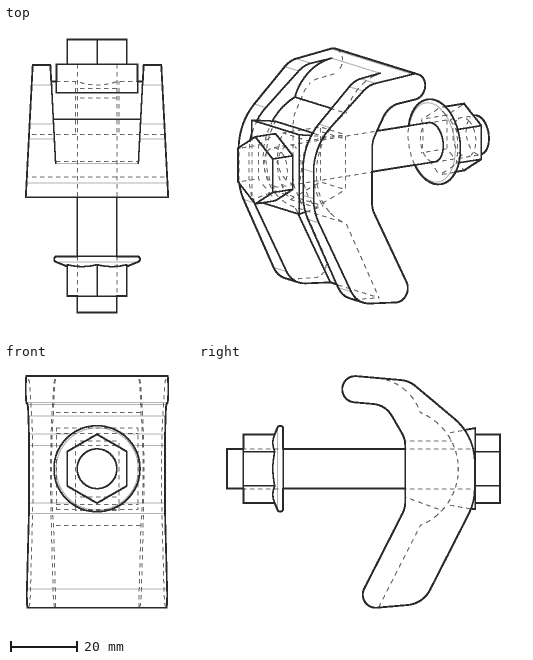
import cadquery as cq
import math


web_depth = 21.0
jaw_top = 28.0
jaw_bottom = -42.0
tip_radius = 4.0
upper_tip_y = -15.0
lower_tip_y = -8.8
lip_angle = math.radians(5)
upper_inner_angle = math.radians(30)
upper_outer_angle = math.radians(50)
lower_angle = math.radians(27)
upper_inner_corner_z = 9.0
upper_outer_corner_z = 10.0
lower_outer_corner_z = -10.2
inner_radius = 7.0
upper_shoulder_radius = 8.0
lower_shoulder_radius = 8.5
upper_back_radius = 17.0
lower_back_radius = 17.0

tip_width = 43.08
draft = math.tan(math.radians(3))

seat_radius = 18.4
seat_y = 16.0
relief_radius = 15.4
relief_end_y = -8.7
recess_back_width = 28.1

slot_width = 13.0
slot_height = 17.0
slot_floor_slope = math.tan(math.radians(20))

shank_diameter = 12.0
across_flats = 18.0
head_height = 7.5
bolt_length = 82.5
seat_plane_y = 21.2
washer_size = 24.6
washer_slope = math.tan(math.radians(10))
nut_height = 12.0
bolt_overhang = 5.0
flange_diameter = 26.0
flange_rim_radius = 0.9
flange_cone_angle = math.radians(22)

hexagon_turn = 30
hex_diameter = across_flats / math.cos(math.pi / 6)
shank_end_y = seat_plane_y + head_height - bolt_length
upper_tip_z = jaw_top - tip_radius
lower_tip_z = jaw_bottom + tip_radius
seat_center_y = seat_y - seat_radius
margin = 10.0


def meet(point_a, dir_a, point_b, dir_b):
    """Intersection of two lines in the YZ plane."""
    det = dir_a[1] * dir_b[0] - dir_a[0] * dir_b[1]
    dy = point_b[0] - point_a[0]
    dz = point_b[1] - point_a[1]
    t = (dir_b[0] * dz - dir_b[1] * dy) / det
    return (point_a[0] + t * dir_a[0], point_a[1] + t * dir_a[1])


def tangent_points(before, corner, after, radius):
    """Start, middle and end of the arc that rounds a corner."""
    def unit(target):
        length = math.dist(corner, target)
        return ((target[0] - corner[0]) / length, (target[1] - corner[1]) / length)

    u = unit(before)
    v = unit(after)
    half = math.acos(u[0] * v[0] + u[1] * v[1]) / 2
    setback = radius / math.tan(half)
    reach = radius / math.sin(half) - radius
    bisector = (u[0] + v[0], u[1] + v[1])
    norm = math.hypot(*bisector)
    start = (corner[0] + setback * u[0], corner[1] + setback * u[1])
    middle = (corner[0] + reach * bisector[0] / norm, corner[1] + reach * bisector[1] / norm)
    end = (corner[0] + setback * v[0], corner[1] + setback * v[1])
    return start, middle, end


def tip_point(center_y, center_z, normal_y, normal_z):
    """Point of a rounded jaw tip in the direction of a unit normal."""
    return (center_y + tip_radius * normal_y, center_z + tip_radius * normal_z)


sin_lip = math.sin(lip_angle)
cos_lip = math.cos(lip_angle)
upper_lip_dir = (cos_lip, -sin_lip)
lower_lip_dir = (cos_lip, sin_lip)
upper_inner_dir = (-math.sin(upper_inner_angle), math.cos(upper_inner_angle))
upper_outer_dir = (-math.sin(upper_outer_angle), math.cos(upper_outer_angle))
lower_dir = (-math.sin(lower_angle), -math.cos(lower_angle))

lip_top = tip_point(upper_tip_y, upper_tip_z, sin_lip, cos_lip)
lip_end = tip_point(upper_tip_y, upper_tip_z, -cos_lip, sin_lip)
lip_under = tip_point(upper_tip_y, upper_tip_z, -sin_lip, -cos_lip)
foot_inner = tip_point(lower_tip_y, lower_tip_z, -math.cos(lower_angle), math.sin(lower_angle))
foot_end = tip_point(lower_tip_y, lower_tip_z, -math.cos(math.pi / 4), -math.sin(math.pi / 4))
foot_under = tip_point(lower_tip_y, lower_tip_z, sin_lip, -cos_lip)


def jaw_outline():
    """Side outline of the jaw with all corners rounded."""
    upper_inner = (0, upper_inner_corner_z)
    lower_inner = meet(foot_inner, lower_dir, (0, 0), (0, 1))
    upper_back = (web_depth, upper_outer_corner_z)
    lower_back = (web_depth, lower_outer_corner_z)
    lip_corner = meet(lip_under, upper_lip_dir, upper_inner, upper_inner_dir)
    upper_shoulder = meet(lip_top, upper_lip_dir, upper_back, upper_outer_dir)
    lower_shoulder = meet(foot_under, lower_lip_dir, lower_back, lower_dir)

    rounded_inside = [
        (lip_under, lip_corner, upper_inner, inner_radius),
        (lip_corner, upper_inner, lower_inner, inner_radius),
        (upper_inner, lower_inner, foot_inner, inner_radius),
    ]
    rounded_outside = [
        (foot_under, lower_shoulder, lower_back, lower_shoulder_radius),
        (lower_shoulder, lower_back, upper_back, lower_back_radius),
        (lower_back, upper_back, upper_shoulder, upper_back_radius),
        (upper_back, upper_shoulder, lip_top, upper_shoulder_radius),
    ]
    outline = cq.Workplane("YZ").moveTo(*lip_top).threePointArc(lip_end, lip_under)
    for corner in rounded_inside:
        start, middle, end = tangent_points(*corner)
        outline = outline.lineTo(*start).threePointArc(middle, end)
    outline = outline.lineTo(*foot_inner).threePointArc(foot_end, foot_under)
    for corner in rounded_outside:
        start, middle, end = tangent_points(*corner)
        outline = outline.lineTo(*start).threePointArc(middle, end)
    return outline.close()


def tapered_block(width_at_ref, ref_y, front_y, back_y, taper):
    """Tall block whose half width changes by taper per millimetre of Y."""
    front_half = width_at_ref / 2 + taper * (front_y - ref_y)
    back_half = width_at_ref / 2 + taper * (back_y - ref_y)
    height = 2 * (jaw_top - jaw_bottom)
    return (
        cq.Workplane("XY")
        .moveTo(-front_half, front_y)
        .lineTo(front_half, front_y)
        .lineTo(back_half, back_y)
        .lineTo(-back_half, back_y)
        .close()
        .extrude(height / 2, both=True)
    )


def seat_point(angle):
    """Point of the cylindrical seat at an angle from +Y."""
    return (seat_center_y + seat_radius * math.cos(angle), seat_radius * math.sin(angle))


def recess():
    """Recess with a cylindrical seat, a rounded relief that runs out on the lip
    and a straight groove, parallel to the lower arm, that runs out at the foot."""
    relief_end = (relief_end_y, lip_top[1] - (relief_end_y - lip_top[0]) * math.tan(lip_angle))
    relief_center = (relief_end[0] - relief_radius * sin_lip, relief_end[1] - relief_radius * cos_lip)
    dy = relief_center[0] - seat_center_y
    gap = math.hypot(dy, relief_center[1])
    along = math.acos((gap**2 + seat_radius**2 - relief_radius**2) / (2 * gap * seat_radius))
    seat_end_angle = math.atan2(relief_center[1], dy) - along
    crease = seat_point(seat_end_angle)
    start_angle = math.atan2(crease[1] - relief_center[1], crease[0] - relief_center[0])
    middle_angle = (start_angle + math.pi / 2 - lip_angle) / 2
    relief_middle = (
        relief_center[0] + relief_radius * math.cos(middle_angle),
        relief_center[1] + relief_radius * math.sin(middle_angle),
    )
    back = web_depth + margin
    outlet_z = jaw_bottom - margin
    outlet_y = crease[0] + (outlet_z + crease[1]) * math.tan(lower_angle)
    profile = (
        cq.Workplane("YZ")
        .moveTo(crease[0], -crease[1])
        .threePointArc((seat_y, 0), crease)
        .threePointArc(relief_middle, relief_end)
        .lineTo(relief_end_y, jaw_top + margin)
        .lineTo(back, jaw_top + margin)
        .lineTo(back, outlet_z)
        .lineTo(outlet_y, outlet_z)
        .close()
        .extrude(tip_width / 2, both=True)
    )
    walls = tapered_block(recess_back_width, web_depth, relief_end_y - margin, back, draft)
    return profile.intersect(walls)


def bolt_slot():
    """Slot through the web whose floor falls towards the back so that the bolt can tilt."""
    half_height = slot_height / 2
    back_floor = -half_height - slot_floor_slope * seat_y
    return (
        cq.Workplane("YZ")
        .moveTo(0, -half_height)
        .lineTo(0, half_height)
        .lineTo(seat_y, half_height)
        .lineTo(seat_y, back_floor)
        .close()
        .extrude(slot_width / 2, both=True)
    )


def make_jaw():
    """Jaw with drafted sides, recess and bolt slot."""
    body = jaw_outline().extrude(tip_width, both=True)
    front_y = upper_tip_y - tip_radius
    sides = tapered_block(tip_width, front_y, front_y - margin, web_depth + margin, -draft)
    return body.intersect(sides).cut(recess()).cut(bolt_slot())


def make_washer():
    """Square washer with a hollow underside that rides on the cylindrical seat."""
    half = washer_size / 2
    narrow = half - washer_slope * seat_plane_y
    block = (
        cq.Workplane("YZ")
        .moveTo(seat_plane_y, -half)
        .lineTo(seat_plane_y, half)
        .lineTo(0, narrow)
        .lineTo(0, -narrow)
        .close()
        .extrude(half, both=True)
    )
    seat = cq.Workplane("YZ").center(seat_center_y, 0).circle(seat_radius).extrude(washer_size, both=True)
    bore = cq.Workplane("XZ").circle(shank_diameter / 2).extrude(-2 * web_depth)
    return block.cut(seat).cut(bore)


def hexagon(base_y, height):
    """Hexagonal prism along -Y from base_y, with corners up and down."""
    return (
        cq.Workplane("XZ", origin=(0, base_y, 0))
        .polygon(6, hex_diameter)
        .extrude(height)
        .rotate((0, 0, 0), (0, 1, 0), hexagon_turn)
    )


def make_bolt():
    """Hexagon bolt with a plain shank."""
    head = hexagon(seat_plane_y + head_height, head_height)
    shank = cq.Workplane("XZ", origin=(0, seat_plane_y, 0)).circle(shank_diameter / 2)
    return head.union(shank.extrude(bolt_length - head_height))


def make_nut():
    """Hexagon nut with a round flange that has a rounded rim and a conical face."""
    end_y = shank_end_y + bolt_overhang
    face_y = end_y + nut_height
    rim_x = flange_diameter / 2 - flange_rim_radius
    rim_y = face_y - flange_rim_radius
    cone_x = rim_x + flange_rim_radius * math.sin(flange_cone_angle)
    cone_y = rim_y - flange_rim_radius * math.cos(flange_cone_angle)
    flange = (
        cq.Workplane("XY")
        .moveTo(0, face_y)
        .lineTo(rim_x, face_y)
        .threePointArc((rim_x + flange_rim_radius, rim_y), (cone_x, cone_y))
        .lineTo(0, cone_y - cone_x * math.tan(flange_cone_angle))
        .close()
        .revolve(360, (0, 0, 0), (0, 1, 0))
    )
    bore = cq.Workplane("XZ", origin=(0, face_y, 0)).circle(shank_diameter / 2).extrude(nut_height)
    return hexagon(face_y, nut_height).union(flange).cut(bore)


jaw = make_jaw()
washer = make_washer()
bolt = make_bolt()
nut = make_nut()

result = cq.Compound.makeCompound([jaw.val(), washer.val(), bolt.val(), nut.val()])